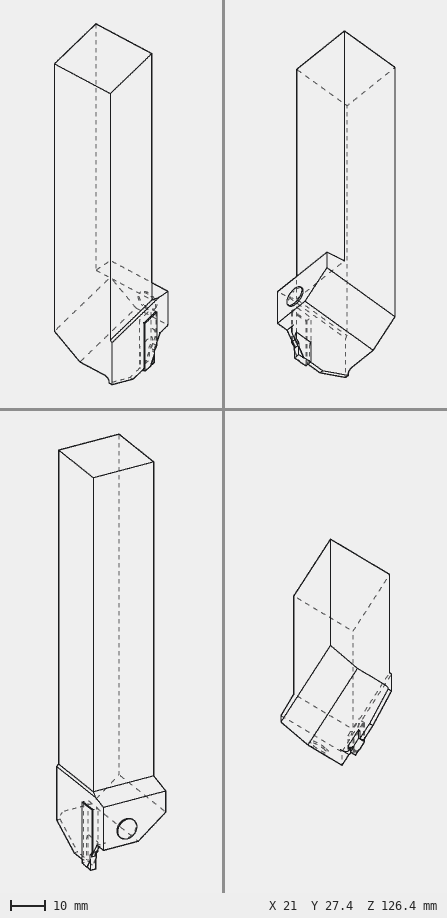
import cadquery as cq
import math

total_height = 126.4
shank_side = 20.0

head_depth = 26.9
head_base_z = 9.5
head_slope_z = 23.4
head_top_z = 25.1
corner_cut_x = 9.1
corner_cut_z = 16.5

blade_left_x = 19.5
blade_right_x = 20.6
blade_tip_z = 1.1
blade_heel_z = 7.2
blade_tip_front_y = 10.1
blade_tip_back_y = 18.1
blade_back_y = 23.1
blade_root_radius = 1.6

insert_left_x = 19.0
insert_right_x = 21.0
insert_front_y = 15.3
insert_back_y = 21.0
rake_face_y = 20.0
rake_top_z = 5.0
rake_shoulder_z = 6.2
insert_top_z = 20.0
tip_relief = 0.4

side_relief_depth = 0.1
side_relief_height = 3.5
side_relief_width = 2.0

disc_x = 13.0
disc_z = 14.7
disc_diameter = 6.3
disc_height = 0.5


def prism_along_x(points, left_x, right_x):
    """Extrude a (Y, Z) outline from left_x to right_x."""
    return cq.Workplane("YZ").workplane(offset=left_x).polyline(points).close().extrude(right_x - left_x)


def make_shank():
    return cq.Workplane("XY").box(
        shank_side, shank_side, total_height - head_base_z, centered=False
    ).translate((0, 0, head_base_z))


def make_head():
    outline = [
        (0, head_base_z),
        (head_depth, head_base_z),
        (head_depth, head_slope_z),
        (shank_side, head_top_z),
        (0, head_top_z),
    ]
    return prism_along_x(outline, 0, blade_right_x)


def make_ledge_bevel():
    """Wedge that slopes the small ledge where the head stands out beside the shank."""
    ledge_width = blade_right_x - shank_side
    return (
        cq.Workplane("XZ")
        .polyline([
            (shank_side, head_top_z),
            (blade_right_x, head_top_z),
            (blade_right_x, head_top_z - ledge_width),
        ])
        .close()
        .extrude(-head_depth)
    )


def make_corner_cut():
    """Wedge that bevels the lower edge of the head on the side away from the blade."""
    return (
        cq.Workplane("XZ")
        .polyline([(0, head_base_z), (corner_cut_x, head_base_z), (0, corner_cut_z)])
        .close()
        .extrude(-head_depth)
    )


def make_blade():
    outline = [
        (0, head_base_z),
        (0, blade_heel_z),
        (blade_tip_front_y, blade_tip_z),
        (blade_tip_back_y, blade_tip_z),
        (blade_back_y, head_base_z),
    ]
    blade = prism_along_x(outline, blade_left_x, blade_right_x)
    envelope = prism_along_x(outline, blade_left_x - blade_root_radius, blade_right_x)
    root_x = blade_left_x - blade_root_radius
    root_z = head_base_z - blade_root_radius
    arc_offset = blade_root_radius * math.sqrt(0.5)
    root_fillet = (
        cq.Workplane("XZ")
        .moveTo(root_x, head_base_z)
        .threePointArc((root_x + arc_offset, root_z + arc_offset), (blade_left_x, root_z))
        .lineTo(blade_left_x, head_base_z)
        .close()
        .extrude(-head_depth)
        .intersect(envelope)
    )
    return blade.union(root_fillet)


def make_screw_disc():
    """Low round disc standing on the back face of the head."""
    return (
        cq.Workplane("XZ", origin=(disc_x, head_depth, disc_z))
        .circle(disc_diameter / 2)
        .extrude(-disc_height)
    )


def make_insert_blank():
    outline = [
        (insert_front_y, tip_relief),
        (rake_face_y, 0),
        (rake_face_y, rake_top_z),
        (insert_back_y, rake_shoulder_z),
        (insert_back_y, insert_top_z),
        (insert_front_y, insert_top_z),
    ]
    return prism_along_x(outline, insert_left_x, insert_right_x)


def make_holder():
    body = make_shank().union(make_head()).cut(make_corner_cut()).cut(make_ledge_bevel())
    body = body.union(make_blade()).union(make_screw_disc())
    return body.cut(make_insert_blank())


def make_insert():
    insert = make_insert_blank()
    relief_outline = [
        (rake_face_y, 0),
        (rake_face_y, side_relief_height),
        (rake_face_y - side_relief_width, 0),
    ]
    for inner_x, outer_x in (
        (insert_left_x, insert_left_x + side_relief_depth),
        (insert_right_x - side_relief_depth, insert_right_x),
    ):
        insert = insert.cut(prism_along_x(relief_outline, inner_x, outer_x))
    return insert


holder = make_holder()
insert = make_insert()
result = cq.Compound.makeCompound([holder.val(), insert.val()])